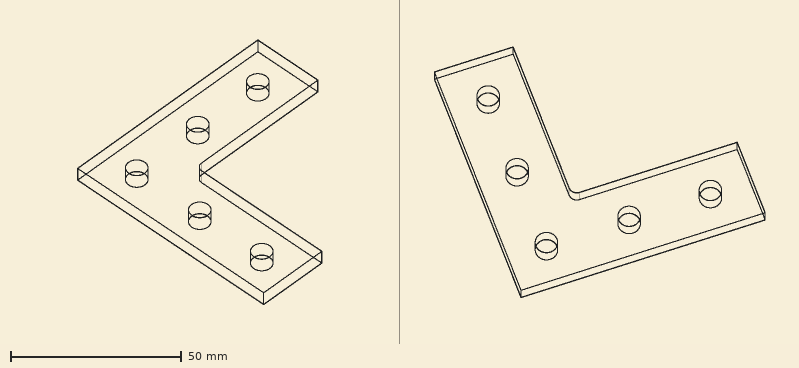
import cadquery as cq

leg_length = 76.2
leg_width = 24.6
thickness = 4.8
inner_corner_radius = 2.4

hole_diameter = 6.6
corner_hole_inset = leg_width / 2
middle_hole_distance = leg_length / 2
end_hole_distance = 63.5


def make_plate():
    """L-shaped plate with a rounded inner corner."""
    outline = [
        (0, 0),
        (leg_length, 0),
        (leg_length, leg_width),
        (leg_width, leg_width),
        (leg_width, leg_length),
        (0, leg_length),
    ]
    plate = cq.Workplane("XY").polyline(outline).close().extrude(thickness)
    inner_edge = cq.selectors.NearestToPointSelector((leg_width, leg_width, thickness / 2))
    return plate.edges("|Z").edges(inner_edge).fillet(inner_corner_radius)


def make_holes():
    """Through holes: one shared at the corner and two more along each leg."""
    centers = [(corner_hole_inset, corner_hole_inset)]
    for distance in (middle_hole_distance, end_hole_distance):
        centers.append((distance, corner_hole_inset))
        centers.append((corner_hole_inset, distance))
    return cq.Workplane("XY").pushPoints(centers).circle(hole_diameter / 2).extrude(thickness)


result = make_plate().cut(make_holes())